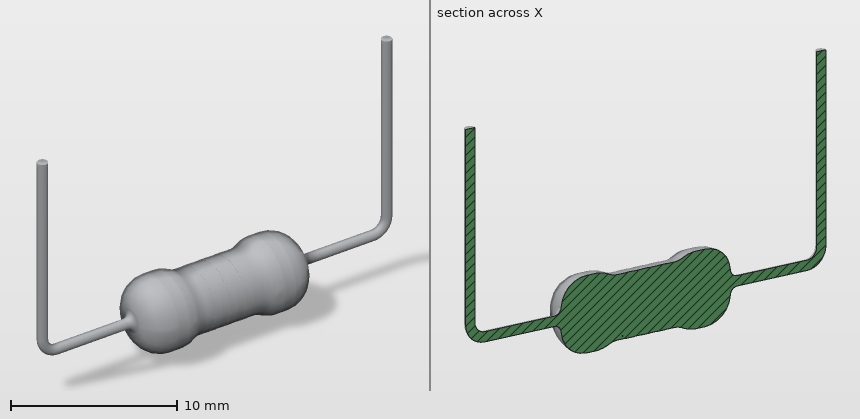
import cadquery as cq
import math


lead_span = 25.7
lead_radius = 0.7 / 2
bend_radius = 3 * lead_radius
lead_top = 13.582

cap_radius = 5.0 / 2
barrel_radius = 4.25 / 2
band_radius = 4.27 / 2

band_count = 3
band_width = 0.57
barrel_half = (2 * band_count + 1) * band_width / 2
cap_inner = 3.47
cap_outer = 4.25
dome_end = 6.05
collar_radius = 0.5
collar_end = dome_end + collar_radius


def s_curve_middle():
    """Point where the neck turns from concave to convex."""
    return ((barrel_radius + cap_radius) / 2, (barrel_half + cap_inner) / 2)


def body_half():
    """Revolved half of the body from the middle out to the end of the collar."""
    collar_start_radius = lead_radius + collar_radius
    collar_middle = (
        collar_start_radius - collar_radius * math.sin(math.pi / 4),
        collar_end - collar_radius * math.cos(math.pi / 4),
    )
    return (
        cq.Workplane("XY")
        .lineTo(barrel_radius, 0)
        .lineTo(barrel_radius, barrel_half)
        .tangentArcPoint(s_curve_middle(), relative=False)
        .tangentArcPoint((cap_radius, cap_inner), relative=False)
        .lineTo(cap_radius, cap_outer)
        .tangentArcPoint((collar_start_radius, dome_end), relative=False)
        .threePointArc(collar_middle, (lead_radius, collar_end))
        .lineTo(0, collar_end)
        .close()
        .revolve(360, (0, 0), (0, 1))
    )


def colour_band(start):
    """Thin raised disc around the barrel, beginning at the given Y."""
    return (
        cq.Workplane("XZ", origin=(0, start, 0))
        .circle(band_radius)
        .extrude(-band_width)
    )


def lead():
    """Round wire running out of the body along +Y, then bending up to +Z."""
    wire_y = lead_span / 2 - lead_radius
    path = (
        cq.Workplane("YZ")
        .lineTo(wire_y - bend_radius, 0)
        .tangentArcPoint((wire_y, bend_radius), relative=False)
        .lineTo(wire_y, lead_top)
    )
    return cq.Workplane("XZ").circle(lead_radius).sweep(path)


half = body_half().union(lead())
result = half.union(half.mirror("XZ")).clean()

for index in range(band_count):
    result = result.union(colour_band(-barrel_half + (2 * index + 1) * band_width))